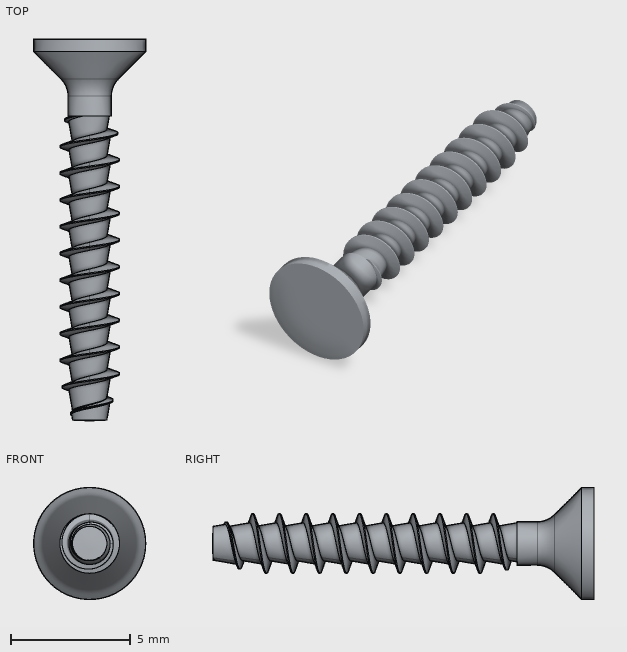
import cadquery as cq
import math


length = 16.0
head_radius = 2.35
head_rim = 0.53
neck_fillet = 1.0
shank_radius = 0.91
shank_end = 3.23
countersink_angle = math.radians(45)

tip_radius = 0.72
tip_point = 0.03
tip_edge = length - tip_point
tip_taper = math.radians(10)

pitch = 1.12
crest_radius = 1.25
crest_width = 0.05
flank_angle = math.radians(18)
thread_height = 0.64
crest_start = 3.1
start_crest_radius = 1.0
end_crest_radius = 0.72
run_in_turns = 1
full_turns = 9
run_out_turns = 1.5

core_radius = 0.7
root_high_radius = 0.9
root_low_radius = 0.72
root_overlap = 0.15
root_taper = math.radians(10)
root_start_turn = -1.4
root_turns = 13

helix_steps = 24


def helix_point(radius, depth, turn):
    """Point at a turn count from +Z through -X; depth is its value at turn 0."""
    angle = 2 * math.pi * turn
    return cq.Vector(-radius * math.sin(angle), -(depth + pitch * turn), radius * math.cos(angle))


def split_by_turn(stations):
    """Add evenly spaced stations so that no stretch is longer than one turn."""
    split = [stations[0]]
    for (start_turn, start_shift), (end_turn, end_shift) in zip(stations, stations[1:]):
        pieces = math.ceil(end_turn - start_turn)
        for piece in range(1, pieces + 1):
            turn = start_turn + (end_turn - start_turn) * piece / pieces
            shift = start_shift + (end_shift - start_shift) * piece / pieces
            split.append((turn, shift))
    return split


def helix_edge(corner, start, end):
    radius, depth = corner
    (start_turn, start_shift), (end_turn, end_shift) = start, end
    points = []
    for step in range(helix_steps + 1):
        fraction = step / helix_steps
        shift = start_shift + (end_shift - start_shift) * fraction
        turn = start_turn + (end_turn - start_turn) * fraction
        points.append(helix_point(radius + shift, depth, turn))
    return cq.Edge.makeSpline(points)


def end_cap(profile, station):
    turn, shift = station
    corners = [helix_point(radius + shift, depth, turn) for radius, depth in profile]
    return cq.Face.makeFromWires(cq.Wire.makePolygon(corners, close=True))


def helical_solid(profile, stations):
    """Sweep (radius, depth) corners along a helix; stations are (turn, radius shift) pairs."""
    faces = [end_cap(profile, stations[0]), end_cap(profile, stations[-1])]
    stations = split_by_turn(stations)
    for start, end in zip(stations, stations[1:]):
        edges = [helix_edge(corner, start, end) for corner in profile]
        for edge, next_edge in zip(edges, edges[1:] + edges[:1]):
            faces.append(cq.Face.makeRuledSurface(edge, next_edge))
    solid = cq.Solid.makeSolid(cq.Shell.makeShell(faces))
    return cq.Workplane(obj=solid.fix())


def revolve_about_y(outline):
    return outline.close().revolve(360, (0, 0, 0), (0, 1, 0))


def make_head_and_shank():
    fillet_center_radius = shank_radius + neck_fillet
    cone_end_radius = fillet_center_radius - neck_fillet * math.cos(countersink_angle)
    cone_end = head_rim + (head_radius - cone_end_radius) / math.tan(countersink_angle)
    fillet_end = cone_end + neck_fillet * math.sin(countersink_angle)
    half_angle = countersink_angle / 2
    fillet_middle = (
        fillet_center_radius - neck_fillet * math.cos(half_angle),
        neck_fillet * math.sin(half_angle) - fillet_end,
    )
    return revolve_about_y(
        cq.Workplane("XY")
        .lineTo(head_radius, 0)
        .lineTo(head_radius, -head_rim)
        .lineTo(cone_end_radius, -cone_end)
        .threePointArc(fillet_middle, (shank_radius, -fillet_end))
        .lineTo(shank_radius, -shank_end)
        .lineTo(0, -shank_end)
    )


def make_core():
    core_length = length - shank_end
    core = cq.Workplane("XZ", origin=(0, -shank_end, 0)).circle(core_radius).extrude(core_length)
    inner_radius = core_radius - root_overlap
    wedge_end = crest_start + (root_high_radius - root_low_radius) / math.tan(root_taper)
    wedge = [
        (inner_radius, crest_start),
        (root_high_radius, crest_start),
        (root_low_radius, wedge_end),
        (inner_radius, wedge_end),
    ]
    wedge_stations = [(root_start_turn, 0), (root_start_turn + root_turns, 0)]
    core = core.union(helical_solid(wedge, wedge_stations))

    taper_length = (shank_radius - tip_radius) / math.tan(tip_taper)
    envelope = revolve_about_y(
        cq.Workplane("XY")
        .moveTo(0, -shank_end)
        .lineTo(shank_radius, -shank_end)
        .lineTo(shank_radius, taper_length - tip_edge)
        .lineTo(tip_radius, -tip_edge)
        .lineTo(0, -length)
    )
    return core.intersect(envelope)


def make_thread():
    half_crest = crest_width / 2
    half_base = half_crest + thread_height * math.tan(flank_angle)
    base_radius = crest_radius - thread_height
    profile = [
        (base_radius, crest_start - half_base),
        (crest_radius, crest_start - half_crest),
        (crest_radius, crest_start + half_crest),
        (base_radius, crest_start + half_base),
    ]
    full_end = run_in_turns + full_turns
    thread = helical_solid(profile, [
        (0, start_crest_radius - crest_radius),
        (run_in_turns, 0),
        (full_end, 0),
        (full_end + run_out_turns, end_crest_radius - crest_radius),
    ])
    threaded_zone = (
        cq.Workplane("XZ", origin=(0, -shank_end, 0))
        .circle(head_radius)
        .extrude(tip_edge - shank_end)
    )
    return thread.intersect(threaded_zone)


result = make_head_and_shank().union(make_core()).union(make_thread())